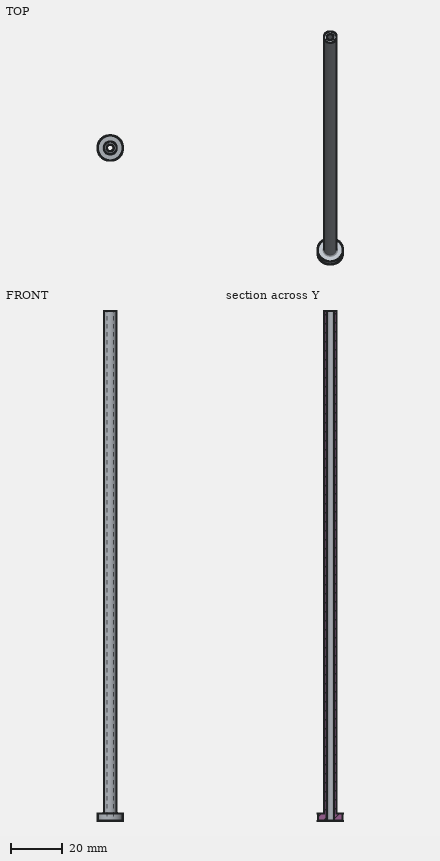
import cadquery as cq

total_length = 200.0
head_diameter = 10.0
head_height = 3.0
tube_diameter = 5.0
bore_diameter = 2.5
root_fillet_radius = 0.3

head_radius = head_diameter / 2
tube_radius = tube_diameter / 2
bore_radius = bore_diameter / 2

half_section = (
    cq.Workplane("XZ")
    .moveTo(bore_radius, 0)
    .lineTo(head_radius, 0)
    .lineTo(head_radius, head_height)
    .lineTo(tube_radius + root_fillet_radius, head_height)
    .radiusArc((tube_radius, head_height + root_fillet_radius), root_fillet_radius)
    .lineTo(tube_radius, total_length)
    .lineTo(bore_radius, total_length)
    .close()
)

result = half_section.revolve(360, (0, 0, 0), (0, 1, 0))